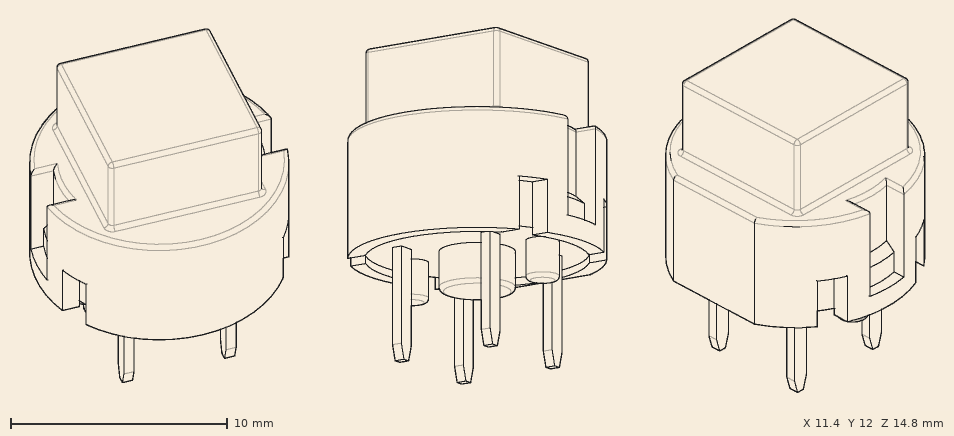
import cadquery as cq

total_height = 14.8
body_bottom = 5.0
body_top = 10.8
boss_bottom = 3.46
edge_radius = 0.2

body_radius = 6.0
flat_distance = 5.4
inner_radius = 5.22
recess_depth = 0.35
recess_top = body_bottom + recess_depth

notch_width = 2.25
notch_floor = 6.02
ledge_bottom = 7.12
ledge_top = 7.53
ledge_radius = 5.39
notch_radius = 4.91

slot_inner_x = 2.28
slot_outer_x = 3.54
slot_width = slot_outer_x - slot_inner_x
slot_center_x = (slot_inner_x + slot_outer_x) / 2
slot_top = ledge_top

button_side = 7.5

center_boss_diameter = 3.54
side_boss_diameter = 1.55
side_boss_offset = 3.69

pin_offset = 2.5
pin_width = 0.8
pin_thickness = 0.5
pin_tip_width = 0.38
pin_tip_length = 0.73


def disc(radius, bottom, top):
    return cq.Workplane("XY").workplane(offset=bottom).circle(radius).extrude(top - bottom)


def block(size_x, size_y, bottom, top, center_x=0):
    return (
        cq.Workplane("XY", origin=(center_x, 0, bottom))
        .rect(size_x, size_y)
        .extrude(top - bottom)
    )


def make_drum():
    drum = disc(body_radius, body_bottom, body_top)
    kept_length = flat_distance + body_radius
    kept_center = (body_radius - flat_distance) / 2
    return drum.intersect(block(kept_length, 2 * body_radius, body_bottom, body_top, kept_center))


def notch_cutter():
    """Both notches: a slab across Y minus a revolved core with a sloping ledge."""
    core = (
        cq.Workplane("XZ")
        .moveTo(0, notch_floor)
        .lineTo(ledge_radius, notch_floor)
        .lineTo(ledge_radius, ledge_bottom)
        .lineTo(notch_radius, ledge_top)
        .lineTo(notch_radius, body_top)
        .lineTo(0, body_top)
        .close()
        .revolve(360, (0, 0, 0), (0, 1, 0))
    )
    return block(notch_width, 2 * body_radius, notch_floor, body_top).cut(core)


def slot_cutter(side):
    """Slots on both Y sides at one X position, stopping at the inner radius."""
    slab = block(slot_width, 2 * body_radius, body_bottom, slot_top, side * slot_center_x)
    return slab.cut(disc(inner_radius, body_bottom, slot_top))


def make_housing():
    housing = make_drum().cut(notch_cutter())
    housing = housing.faces(">Z").edges().fillet(edge_radius)
    housing = housing.cut(disc(inner_radius, body_bottom, recess_top))
    for side in (-1, 1):
        housing = housing.cut(slot_cutter(side))
    return housing


def add_button(housing):
    button = block(button_side, button_side, body_top, total_height)
    button = button.edges("|Z or >Z").fillet(edge_radius)
    reach = (button_side + edge_radius) / 2
    base_edges = cq.selectors.BoxSelector(
        (-reach, -reach, body_top - edge_radius),
        (reach, reach, body_top + edge_radius),
    )
    return housing.union(button).edges(base_edges).fillet(edge_radius)


def make_boss(diameter, center_y):
    boss = disc(diameter / 2, boss_bottom, recess_top)
    return boss.faces("<Z").edges().fillet(edge_radius).translate((0, center_y, 0))


def make_pin(center_x, center_y):
    half_width = pin_width / 2
    half_tip = pin_tip_width / 2
    return (
        cq.Workplane("XZ")
        .polyline([
            (-half_tip, 0),
            (half_tip, 0),
            (half_width, pin_tip_length),
            (half_width, recess_top),
            (-half_width, recess_top),
            (-half_width, pin_tip_length),
        ])
        .close()
        .extrude(pin_thickness / 2, both=True)
        .translate((center_x, center_y, 0))
    )


result = add_button(make_housing())

result = result.union(make_boss(center_boss_diameter, 0))
for center_y in (-side_boss_offset, side_boss_offset):
    result = result.union(make_boss(side_boss_diameter, center_y))

for center_x in (-pin_offset, pin_offset):
    for center_y in (-pin_offset, pin_offset):
        result = result.union(make_pin(center_x, center_y))